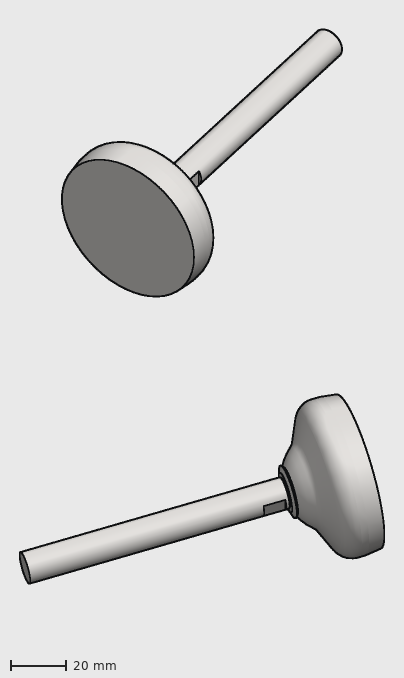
import cadquery as cq
import math


total_height = 128.0
foot_radius = 30.0

sole_radius = 29.2
skirt_height = 6.2
shoulder_start = 9.0
shoulder_radius = 7.3
flank_slope = math.radians(26.0)
blend_radius = 7.0
dome_radius = 20.0
dome_centre_height = 8.6

lip_root_height = 26.3
lip_edge_height = 27.05
lip_radius = 10.0
foot_height = 28.0
lip_top_radius = 7.6

stud_radius = 6.0
stud_foot_chamfer = 0.45
stud_length = total_height - foot_height
flats_width = 10.0
flats_bottom = 29.7
flats_length = 8.4


def offset_point(point, distance, angle):
    """Point (radius, height) at a distance from another, at an angle above outward."""
    radius, height = point
    return (radius + distance * math.cos(angle), height + distance * math.sin(angle))


def build_foot():
    """Revolve the foot profile about Y; profile points are (radius, height)."""
    flank_normal = math.pi / 2 - flank_slope

    shoulder_centre = (foot_radius - shoulder_radius, shoulder_start)
    shoulder_mid = offset_point(shoulder_centre, shoulder_radius, flank_normal / 2)
    shoulder_end = offset_point(shoulder_centre, shoulder_radius, flank_normal)

    dome_centre = (0.0, dome_centre_height)
    flank_distance = (
        shoulder_end[0] * math.cos(flank_normal)
        + (shoulder_end[1] - dome_centre_height) * math.sin(flank_normal)
    )
    centre_distance = dome_radius + blend_radius
    dome_end_angle = flank_normal - math.acos((flank_distance + blend_radius) / centre_distance)
    blend_centre = offset_point(dome_centre, centre_distance, dome_end_angle)
    blend_start = offset_point(blend_centre, -blend_radius, flank_normal)
    blend_mid = offset_point(blend_centre, -blend_radius, (flank_normal + dome_end_angle) / 2)
    blend_end = offset_point(blend_centre, -blend_radius, dome_end_angle)

    lip_root_angle = math.asin((lip_root_height - dome_centre_height) / dome_radius)
    dome_mid = offset_point(dome_centre, dome_radius, (dome_end_angle + lip_root_angle) / 2)
    lip_root = offset_point(dome_centre, dome_radius, lip_root_angle)

    profile = (
        cq.Workplane("XY")
        .lineTo(sole_radius, 0)
        .lineTo(foot_radius, skirt_height)
        .lineTo(foot_radius, shoulder_start)
        .threePointArc(shoulder_mid, shoulder_end)
        .lineTo(*blend_start)
        .threePointArc(blend_mid, blend_end)
        .threePointArc(dome_mid, lip_root)
        .lineTo(lip_radius, lip_edge_height)
        .lineTo(lip_top_radius, foot_height)
        .lineTo(0, foot_height)
        .close()
    )
    return profile.revolve(360, (0, 0, 0), (0, 1, 0))


def build_stud():
    """Round stud with a chamfered lower end and two wrench flats facing -X and +X."""
    stud = (
        cq.Workplane("XZ", origin=(0, foot_height, 0))
        .circle(stud_radius)
        .extrude(-stud_length)
        .faces("<Y")
        .chamfer(stud_foot_chamfer)
    )
    flat_depth = stud_radius - flats_width / 2
    for side in (-1, 1):
        flat_cut = cq.Workplane("XY").box(flat_depth, flats_length, 2 * stud_radius).translate(
            (side * (flats_width + flat_depth) / 2, flats_bottom + flats_length / 2, 0)
        )
        stud = stud.cut(flat_cut)
    return stud


foot = build_foot()
stud = build_stud()

result = cq.Compound.makeCompound([foot.val(), stud.val()])